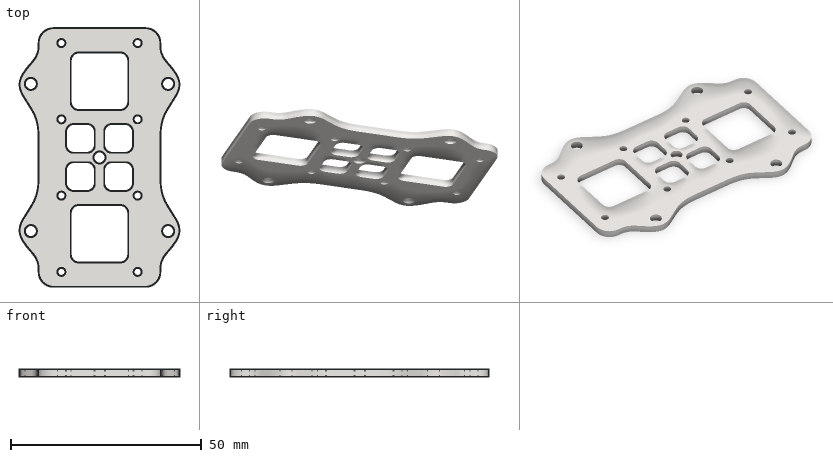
import cadquery as cq

thickness = 2.0
length = 67.92
width = 32.0
corner_radius = 4.0

ear_hole_x = 18.0
ear_hole_y = 19.3
ear_tip_x = 21.0
ear_outer_y = 29.2
ear_outer_flank = (18.45, 24.1)
ear_inner_flank = (18.45, 13.6)
ear_inner_y = 5.2

ear_hole_diameter = 3.1
center_hole_diameter = 3.1
small_hole_diameter = 2.05
small_hole_spacing = 20.0
pattern_center_y = 20.0

large_window = 15.0
large_window_radius = 2.0
small_window = 7.5
small_window_radius = 2.0
small_window_spacing = 10.0

SIGNS = (-1, 1)


def make_plate():
    return cq.Workplane("XY").box(width, length, thickness).edges("|Z").fillet(corner_radius)


def make_ear(side, end):
    """One ear, mirrored into the quadrant given by the signs of X and Y."""
    side_x = width / 2
    curve = [
        (side_x, ear_outer_y),
        ear_outer_flank,
        (ear_tip_x, ear_hole_y),
        ear_inner_flank,
        (side_x, ear_inner_y),
    ]
    mirrored = [(side * x, end * y) for x, y in curve]
    along_side = (0, -end)
    return (
        cq.Workplane("XY", origin=(0, 0, -thickness / 2))
        .moveTo(0, end * ear_outer_y)
        .lineTo(*mirrored[0])
        .spline(mirrored[1:], tangents=[along_side, along_side], includeCurrent=True)
        .lineTo(0, end * ear_inner_y)
        .close()
        .extrude(thickness)
    )


def round_holes(points, diameter):
    return cq.Workplane("XY").pushPoints(points).circle(diameter / 2).extrude(thickness, both=True)


def square_windows(points, size, radius):
    return (
        cq.Workplane("XY")
        .pushPoints(points)
        .rect(size, size)
        .extrude(thickness, both=True)
        .edges("|Z")
        .fillet(radius)
    )


def corners(x, y, center_y=0.0):
    return [(i * x, center_y + j * y) for i in SIGNS for j in SIGNS]


result = make_plate()
for side in SIGNS:
    for end in SIGNS:
        result = result.union(make_ear(side, end))

result = result.cut(round_holes(corners(ear_hole_x, ear_hole_y), ear_hole_diameter))
result = result.cut(round_holes([(0, 0)], center_hole_diameter))

half_spacing = small_hole_spacing / 2
for end in SIGNS:
    pattern = corners(half_spacing, half_spacing, end * pattern_center_y)
    result = result.cut(round_holes(pattern, small_hole_diameter))

large_centers = [(0, end * pattern_center_y) for end in SIGNS]
result = result.cut(square_windows(large_centers, large_window, large_window_radius))

small_centers = corners(small_window_spacing / 2, small_window_spacing / 2)
result = result.cut(square_windows(small_centers, small_window, small_window_radius))